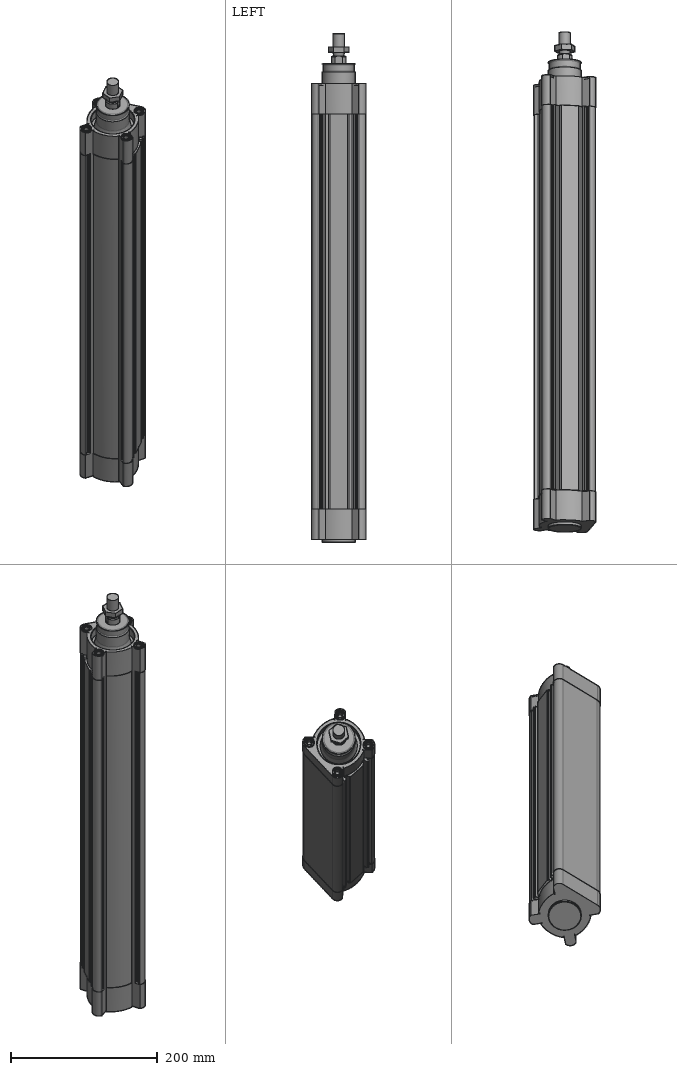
import cadquery as cq
import math

PILOT_HEIGHT = 4.0
COVER_HEIGHT = 41.5
BARREL_LENGTH = 538.0
COLLAR_HEIGHT = 27.0
ROD_TIP_Z = 693.0

COVER_WIDTH = 75.0
BARREL_WIDTH = 74.0
LOBE_RADIUS = 9.0
NOTCH_HALF_WIDTH = 27.0
COVER_BULGE_REACH = 35.0
BARREL_BULGE_REACH = 34.0
BULGE_RADIUS = 45.0
BULGE_HALF_WIDTH = 18.0

SENSOR_SLOT_OFFSET = 16.0
SENSOR_SLOT_WIDTH = 4.0
SENSOR_SLOT_DEPTH = 5.5
SENSOR_STEP_WIDTH = 8.0
SENSOR_STEP_DEPTH = 1.5
SMALL_GROOVE_OFFSET = 24.0
SMALL_GROOVE_WIDTH = 1.5
SMALL_GROOVE_DEPTH = 8.0
SMALL_STEP_WIDTH = 4.0
SMALL_STEP_DEPTH = 6.0

COLLAR_DIAMETER = 45.0
COLLAR_CHAMFER_WIDTH = 2.0
COLLAR_CHAMFER_HEIGHT = 0.35
COLLAR_FLARE_WIDTH = 3.0
COLLAR_FLARE_TOP_GAP = 1.5
COLLAR_GROOVE_DIAMETER = 42.0
COLLAR_GROOVE_WIDTH = 11.0
COLLAR_GROOVE_TOP_GAP = 1.0
PILOT_CHAMFER = 1.0
RECESS_DIAMETER = 59.0
RECESS_MOUTH_DIAMETER = 60.0
RECESS_DEPTH = 12.5

SCREW_OFFSET = 28.5
COUNTERBORE_DIAMETER = 14.0
SCREW_HEAD_DIAMETER = 12.0
COUNTERBORE_DEPTH = 3.0
SCREW_HEAD_HEIGHT = 2.0
SOCKET_MOUTH_DIAMETER = 8.0
SOCKET_DIAMETER = 6.65
SOCKET_DEPTH = 10.5

ROD_DIAMETER = 20.0
ROD_CHAMFER = 1.5
FLATS_WIDTH = 17.0
THREAD_DIAMETER = 16.0
THREAD_LENGTH = 25.5
NECK_DIAMETER = 14.0
NECK_LENGTH = 5.0

NUT_WIDTH = 24.0
NUT_HEIGHT = 7.5
NUT_TOP_GAP = 18.0

BARREL_Z = PILOT_HEIGHT + COVER_HEIGHT
HEAD_Z = BARREL_Z + BARREL_LENGTH
HEAD_TOP_Z = HEAD_Z + COVER_HEIGHT
COLLAR_TOP_Z = HEAD_TOP_Z + COLLAR_HEIGHT
SHOULDER_Z = ROD_TIP_Z - THREAD_LENGTH - NECK_LENGTH
NUT_Z = ROD_TIP_Z - NUT_TOP_GAP - NUT_HEIGHT


def cylinder(diameter, z, height):
    return cq.Workplane("XY").workplane(offset=z).circle(diameter / 2).extrude(height)


def cone(bottom_diameter, top_diameter, z, height):
    return (
        cq.Workplane("XY").workplane(offset=z)
        .circle(bottom_diameter / 2)
        .workplane(offset=height)
        .circle(top_diameter / 2)
        .loft()
    )


def rounded_square(width, z, height):
    block = cq.Workplane("XY").workplane(offset=z).rect(width, width).extrude(height)
    return block.edges("|Z").fillet(LOBE_RADIUS)


def side_notch(z, height, bulge_reach, angle):
    """The gap beside one bulged side, between the sloping flanks of two corner lobes."""
    outer = COVER_WIDTH / 2
    depth = NOTCH_HALF_WIDTH - BULGE_HALF_WIDTH
    bulge = (
        cq.Workplane("XY").workplane(offset=z)
        .rect(2 * BULGE_HALF_WIDTH, COVER_WIDTH).extrude(height)
        .intersect(cylinder(2 * BULGE_RADIUS, z, height).translate((0, BULGE_RADIUS - bulge_reach, 0)))
    )
    gap = (
        cq.Workplane("XY").workplane(offset=z)
        .polyline([
            (-NOTCH_HALF_WIDTH, -outer),
            (NOTCH_HALF_WIDTH, -outer),
            (BULGE_HALF_WIDTH, depth - outer),
            (-BULGE_HALF_WIDTH, depth - outer),
        ])
        .close().extrude(height)
        .cut(bulge)
    )
    return gap.rotate((0, 0, 0), (0, 0, 1), angle)


def cover(z):
    """End cover with bulged -Y, -X and +X sides and a flat +Y side."""
    body = rounded_square(COVER_WIDTH, z, COVER_HEIGHT)
    for angle in (0, 90, -90):
        body = body.cut(side_notch(z, COVER_HEIGHT, COVER_BULGE_REACH, angle))
    return body


def groove_pair(offset, width, depth, angle):
    """Two long grooves, mirrored about the middle of one side of the barrel."""
    grooves = (
        cq.Workplane("XY").workplane(offset=BARREL_Z)
        .pushPoints([(side * offset, -BARREL_WIDTH / 2) for side in (-1, 1)])
        .rect(width, 2 * depth).extrude(BARREL_LENGTH)
    )
    return grooves.rotate((0, 0, 0), (0, 0, 1), angle)


def barrel():
    """Barrel profile with grooved flanks at -Y and sensor slots at -X and +X."""
    body = rounded_square(BARREL_WIDTH, BARREL_Z, BARREL_LENGTH)
    body = body.cut(side_notch(BARREL_Z, BARREL_LENGTH, BARREL_BULGE_REACH, 0))
    for angle in (0, 90, -90):
        body = body.cut(groove_pair(SMALL_GROOVE_OFFSET, SMALL_GROOVE_WIDTH, SMALL_GROOVE_DEPTH, angle))
        body = body.cut(groove_pair(SMALL_GROOVE_OFFSET, SMALL_STEP_WIDTH, SMALL_STEP_DEPTH, angle))
    for angle in (90, -90):
        body = body.cut(groove_pair(SENSOR_SLOT_OFFSET, SENSOR_SLOT_WIDTH, SENSOR_SLOT_DEPTH, angle))
        body = body.cut(groove_pair(SENSOR_SLOT_OFFSET, SENSOR_STEP_WIDTH, SENSOR_STEP_DEPTH, angle))
    return body


def collar():
    """Collar rising from the recess floor, flared at its foot and grooved below its top."""
    radius = COLLAR_DIAMETER / 2
    groove_radius = COLLAR_GROOVE_DIAMETER / 2
    groove_depth = radius - groove_radius
    floor_z = HEAD_TOP_Z - RECESS_DEPTH
    groove_top = COLLAR_TOP_Z - COLLAR_GROOVE_TOP_GAP
    groove_bottom = groove_top - COLLAR_GROOVE_WIDTH
    profile = (
        cq.Workplane("XZ")
        .moveTo(0, floor_z)
        .lineTo(radius + COLLAR_FLARE_WIDTH, floor_z)
        .lineTo(radius, HEAD_TOP_Z - COLLAR_FLARE_TOP_GAP)
        .lineTo(radius, groove_bottom)
        .radiusArc((groove_radius, groove_bottom + groove_depth), groove_depth)
        .lineTo(groove_radius, groove_top - groove_depth)
        .radiusArc((radius, groove_top), groove_depth)
        .lineTo(radius, COLLAR_TOP_Z - COLLAR_CHAMFER_HEIGHT)
        .lineTo(radius - COLLAR_CHAMFER_WIDTH, COLLAR_TOP_Z)
        .lineTo(0, COLLAR_TOP_Z)
        .close()
    )
    return profile.revolve(360, (0, 0, 0), (0, 1, 0))


def recess():
    """Round recess around the collar, with a chamfered mouth."""
    mouth_chamfer = (RECESS_MOUTH_DIAMETER - RECESS_DIAMETER) / 2
    pocket = cylinder(RECESS_DIAMETER, HEAD_TOP_Z - RECESS_DEPTH, RECESS_DEPTH)
    mouth_z = HEAD_TOP_Z - mouth_chamfer
    mouth = cone(RECESS_DIAMETER, RECESS_MOUTH_DIAMETER, mouth_z, mouth_chamfer)
    return pocket.union(mouth)


def pilot():
    return cylinder(COLLAR_DIAMETER, 0, PILOT_HEIGHT).faces("<Z").chamfer(PILOT_CHAMFER)


def screw_recess(x, y):
    """Counterbore around a screw head with a chamfered socket."""
    floor_z = HEAD_TOP_Z - COUNTERBORE_DEPTH
    head_top_z = floor_z + SCREW_HEAD_HEIGHT
    socket_chamfer = (SOCKET_MOUTH_DIAMETER - SOCKET_DIAMETER) / 2
    head = cylinder(SCREW_HEAD_DIAMETER, floor_z, SCREW_HEAD_HEIGHT)
    socket = cylinder(SOCKET_DIAMETER, head_top_z - SOCKET_DEPTH, SOCKET_DEPTH)
    mouth_z = head_top_z - socket_chamfer
    mouth = cone(SOCKET_DIAMETER, SOCKET_MOUTH_DIAMETER, mouth_z, socket_chamfer)
    ring = cylinder(COUNTERBORE_DIAMETER, floor_z, COUNTERBORE_DEPTH).cut(head)
    return ring.union(socket).union(mouth).translate((x, y, 0))


def make_housing():
    """Barrel between two end covers, with the collar, the end pilot and the corner screws."""
    body = cover(PILOT_HEIGHT).union(barrel()).union(cover(HEAD_Z))
    body = body.cut(recess())
    body = body.union(collar()).union(pilot())
    for x in (-SCREW_OFFSET, SCREW_OFFSET):
        for y in (-SCREW_OFFSET, SCREW_OFFSET):
            body = body.cut(screw_recess(x, y))
    rod_bore = cylinder(ROD_DIAMETER, HEAD_Z, COLLAR_TOP_Z - HEAD_Z)
    return body.cut(rod_bore)


def make_rod():
    """Rod seated in the head, with two wrench flats and a threaded tip."""
    body = cylinder(ROD_DIAMETER, HEAD_Z, SHOULDER_Z - HEAD_Z).faces(">Z").chamfer(ROD_CHAMFER)
    flat_height = SHOULDER_Z - COLLAR_TOP_Z
    slab = (
        cq.Workplane("XY").workplane(offset=COLLAR_TOP_Z)
        .rect(FLATS_WIDTH, 2 * ROD_DIAMETER).extrude(flat_height)
    )
    beside_flats = cylinder(2 * ROD_DIAMETER, COLLAR_TOP_Z, flat_height).cut(slab)
    thread = cylinder(THREAD_DIAMETER, SHOULDER_Z + NECK_LENGTH, THREAD_LENGTH)
    neck = cone(NECK_DIAMETER, THREAD_DIAMETER, SHOULDER_Z, NECK_LENGTH)
    return body.cut(beside_flats).union(neck).union(thread)


def make_nut():
    """Hexagonal lock nut with corners toward -Y and +Y."""
    across_corners = NUT_WIDTH / math.cos(math.pi / 6)
    blank = (
        cq.Workplane("XY").workplane(offset=NUT_Z)
        .polygon(6, across_corners).extrude(NUT_HEIGHT)
        .rotate((0, 0, 0), (0, 0, 1), 90)
    )
    return blank.cut(cylinder(THREAD_DIAMETER, NUT_Z, NUT_HEIGHT))


housing = make_housing()
rod = make_rod()
nut = make_nut()

result = cq.Compound.makeCompound([housing.val(), rod.val(), nut.val()])